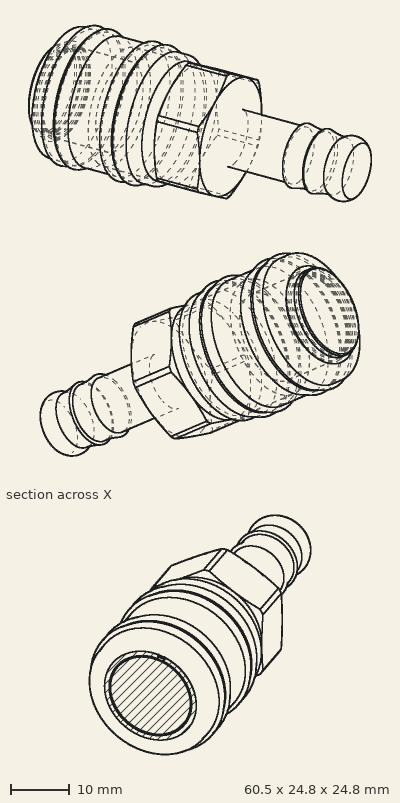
import cadquery as cq
import math


TOTAL_LENGTH = 60.5

NOSE_DIAMETER = 16.0
NOSE_CHAMFER = 0.25
GROOVE_DIAMETER = 14.95
COLLAR_DIAMETER = 21.0
HEX_ACROSS_FLATS = COLLAR_DIAMETER
HEX_CORNER_DIAMETER = 23.65
HEX_START = 26.5
HEX_LENGTH = 9.0
HEX_CHAMFER_ANGLE = 20.0
HEX_FACES = 6

RING_POSITION = 1.95
RING_OUTER_DIAMETER = 17.65
RING_WIRE_DIAMETER = 1.45
RING_GAP_WIDTH = 1.1
RING_GAP_ANGLE = 14.0

STEM_DIAMETER = 10.1
STEM_FILLET = 1.0
BARB_DIAMETER = 11.5
BARB_STARTS = (49.0, 53.0)
BARB_LIP = 0.3
BARB_SAG = 0.1
FIRST_BARB_END_DIAMETER = 10.45
FIRST_BARB_FLAT = 0.35
BULB_LENGTH = 3.6
TIP_DIAMETER = 9.85

SLEEVE_START = 2.7
SLEEVE_LENGTH = 21.35
SLEEVE_DIAMETER = 23.3
SLEEVE_FILLET = 0.55
SLIDING_CLEARANCE = 0.1
LIP_BORE_DIAMETER = NOSE_DIAMETER + SLIDING_CLEARANCE
SKIRT_BORE_DIAMETER = COLLAR_DIAMETER + SLIDING_CLEARANCE
SEAT_DIAMETER = 16.65
SHOULDER_POSITION = SLEEVE_START + SLEEVE_LENGTH / 2

RIB_DIAMETER = 24.8
RIB_PITCH = 2.55
RIB_ROUNDING = 0.4
RIB_ANGLE = 21.5
RIB_VALLEY_DIAMETER = 23.55
RIB_PAIR_STARTS = (5.15, 16.65)


def revolve_about_x(profile):
    """Turn a closed profile, drawn as (position, radius), about the X axis."""
    return profile.close().revolve(360, (0, 0, 0), (1, 0, 0))


def cylinder(start, end, diameter):
    return cq.Workplane("YZ", origin=(start, 0, 0)).circle(diameter / 2).extrude(end - start)


def make_hex():
    """Hexagon with flats facing +Y and -Y, rounded corners and both ends chamfered."""
    hex_end = HEX_START + HEX_LENGTH
    flat_radius = HEX_ACROSS_FLATS / 2
    corner_radius = HEX_CORNER_DIAMETER / 2
    chamfer = (corner_radius - flat_radius) * math.tan(math.radians(HEX_CHAMFER_ANGLE))
    across_corners = HEX_ACROSS_FLATS / math.cos(math.pi / HEX_FACES)
    prism = (
        cq.Workplane("YZ", origin=(HEX_START, 0, 0))
        .transformed(rotate=(0, 0, 90))
        .polygon(HEX_FACES, across_corners)
        .extrude(HEX_LENGTH)
    )
    envelope = revolve_about_x(
        cq.Workplane("XY")
        .moveTo(HEX_START, 0)
        .lineTo(HEX_START, flat_radius)
        .lineTo(HEX_START + chamfer, corner_radius)
        .lineTo(hex_end - chamfer, corner_radius)
        .lineTo(hex_end, flat_radius)
        .lineTo(hex_end, 0)
    )
    return prism.intersect(envelope)


def make_stem():
    """Hose stem with a filleted root, two barbs with concave backs and a rounded end bulb."""
    root = HEX_START + HEX_LENGTH
    stem_radius = STEM_DIAMETER / 2
    barb_radius = BARB_DIAMETER / 2
    first_end_radius = FIRST_BARB_END_DIAMETER / 2
    first_start, second_start = BARB_STARTS
    first_end = second_start - FIRST_BARB_FLAT
    bulb_start = TOTAL_LENGTH - BULB_LENGTH
    arc_inset = 1 - math.sqrt(0.5)

    def draw_barb(profile, start, end, end_radius):
        back_start = start + BARB_LIP
        middle = ((back_start + end) / 2, (barb_radius + end_radius) / 2 - BARB_SAG)
        return (
            profile
            .lineTo(start, barb_radius - BARB_LIP)
            .threePointArc(
                (start + BARB_LIP * arc_inset, barb_radius - BARB_LIP * arc_inset),
                (back_start, barb_radius),
            )
            .threePointArc(middle, (end, end_radius))
        )

    profile = (
        cq.Workplane("XY")
        .moveTo(root, 0)
        .lineTo(root, stem_radius + STEM_FILLET)
        .threePointArc(
            (root + STEM_FILLET * arc_inset, stem_radius + STEM_FILLET * arc_inset),
            (root + STEM_FILLET, stem_radius),
        )
        .lineTo(first_start, stem_radius)
    )
    profile = draw_barb(profile, first_start, first_end, first_end_radius)
    profile = profile.lineTo(second_start, first_end_radius)
    profile = draw_barb(profile, second_start, bulb_start, stem_radius)
    profile = profile.threePointArc(
        (bulb_start + BULB_LENGTH / 2, barb_radius), (TOTAL_LENGTH, TIP_DIAMETER / 2)
    )
    return revolve_about_x(profile.lineTo(TOTAL_LENGTH, 0))


def make_stop_ring():
    """Open wire ring whose gap lies just beside the top, toward -Y."""
    wire_radius = RING_WIRE_DIAMETER / 2
    centre_radius = RING_OUTER_DIAMETER / 2 - wire_radius
    ring = (
        cq.Workplane("XY")
        .center(RING_POSITION, centre_radius)
        .circle(wire_radius)
        .revolve(360, (0, -centre_radius, 0), (1, -centre_radius, 0))
    )
    gap = (
        cq.Workplane("XY")
        .box(2 * RING_WIRE_DIAMETER, RING_GAP_WIDTH, 2 * RING_WIRE_DIAMETER)
        .translate((RING_POSITION, 0, centre_radius))
        .rotate((0, 0, 0), (1, 0, 0), RING_GAP_ANGLE)
    )
    return ring.cut(gap)


def make_body():
    """Nose, collar, hex, stem and stop ring in one piece."""
    wire_radius = RING_WIRE_DIAMETER / 2
    groove_start = RING_POSITION - wire_radius
    groove_end = RING_POSITION + wire_radius
    nose = cylinder(0, SHOULDER_POSITION, NOSE_DIAMETER).faces("<X").chamfer(NOSE_CHAMFER)
    groove = cylinder(groove_start, groove_end, NOSE_DIAMETER).cut(
        cylinder(groove_start, groove_end, GROOVE_DIAMETER)
    )
    collar = cylinder(SHOULDER_POSITION, HEX_START, COLLAR_DIAMETER)
    return (
        nose.cut(groove)
        .union(make_stop_ring())
        .union(collar)
        .union(make_hex())
        .union(make_stem())
    )


def make_rib_pair(start):
    """Two saw teeth with upright rounded fronts and sloping backs, a narrow flat valley between."""
    base_radius = SLEEVE_DIAMETER / 2
    valley_radius = RIB_VALLEY_DIAMETER / 2
    tip_radius = RIB_DIAMETER / 2
    inner_radius = SKIRT_BORE_DIAMETER / 2
    slope = math.radians(RIB_ANGLE)
    round_centre_radius = tip_radius - RIB_ROUNDING

    def draw_tooth(profile, front, end_radius):
        """Front face, rounded tip, and back slope down to end_radius."""
        round_centre = front + RIB_ROUNDING
        back_start = round_centre + RIB_ROUNDING * math.sin(slope)
        back_start_radius = round_centre_radius + RIB_ROUNDING * math.cos(slope)
        back_end = back_start + (back_start_radius - end_radius) / math.tan(slope)
        return (
            profile
            .lineTo(front, round_centre_radius)
            .threePointArc((round_centre, tip_radius), (back_start, back_start_radius))
            .lineTo(back_end, end_radius)
        )

    second_front = start + RIB_PITCH
    profile = cq.Workplane("XY").moveTo(start, inner_radius)
    profile = draw_tooth(profile, start, valley_radius)
    profile = profile.lineTo(second_front, valley_radius)
    profile = draw_tooth(profile, second_front, base_radius)
    return revolve_about_x(profile.lineTo(second_front + RIB_ROUNDING, inner_radius))


def make_sleeve():
    sleeve_end = SLEEVE_START + SLEEVE_LENGTH
    sleeve = cylinder(SLEEVE_START, sleeve_end, SLEEVE_DIAMETER)
    sleeve = sleeve.faces("<X or >X").edges().fillet(SLEEVE_FILLET)
    for start in RIB_PAIR_STARTS:
        sleeve = sleeve.union(make_rib_pair(start))
    seat_depth = (SEAT_DIAMETER - LIP_BORE_DIAMETER) / 2
    bore = revolve_about_x(
        cq.Workplane("XY")
        .moveTo(SLEEVE_START, 0)
        .lineTo(SLEEVE_START, SEAT_DIAMETER / 2)
        .lineTo(SLEEVE_START + seat_depth, LIP_BORE_DIAMETER / 2)
        .lineTo(SHOULDER_POSITION, LIP_BORE_DIAMETER / 2)
        .lineTo(SHOULDER_POSITION, SKIRT_BORE_DIAMETER / 2)
        .lineTo(sleeve_end, SKIRT_BORE_DIAMETER / 2)
        .lineTo(sleeve_end, 0)
    )
    return sleeve.cut(bore)


body = make_body()
sleeve = make_sleeve()
result = cq.Compound.makeCompound([body.val(), sleeve.val()])